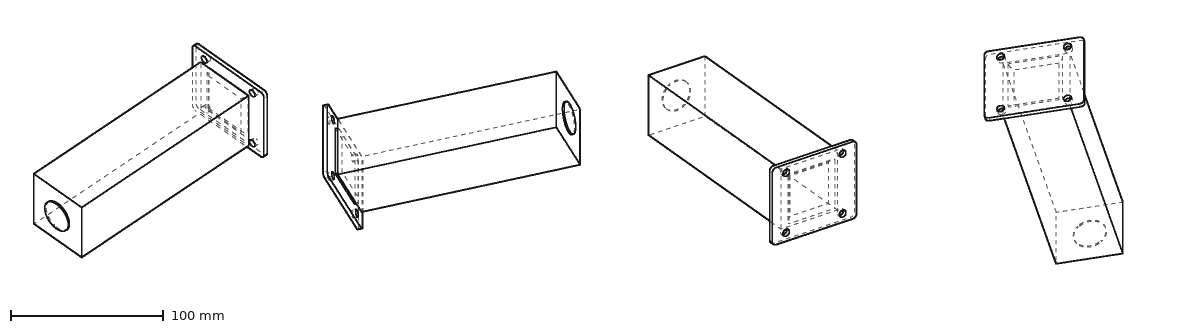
import cadquery as cq

OVERALL_LENGTH = 160.0

PLATE_WIDTH = 67.0
PLATE_HEIGHT = 58.0
PLATE_THICKNESS = 3.0
PLATE_CORNER_RADIUS = 3.0
HOLE_DIAMETER = 5.1

COLLAR_SIDE = 36.5
COLLAR_THICKNESS = 3.4
COLLAR_RIM = 0.3
COLLAR_ROUND = COLLAR_THICKNESS - COLLAR_RIM

POST_SIDE = 45.0
PAD_DIAMETER = 22.0
PAD_THICKNESS = 1.1

HOLE_SPACING = POST_SIDE
POST_START = PLATE_THICKNESS + COLLAR_THICKNESS
POST_LENGTH = OVERALL_LENGTH - POST_START - PAD_THICKNESS


def section_plane(distance):
    """Plane square to the leg axis, at a distance from the plate's back face; extrudes toward -Y."""
    return cq.Workplane("XZ", origin=(0, -distance, 0))


def make_mounting_plate():
    """Rounded rectangular plate with four through holes."""
    plate = section_plane(0).rect(PLATE_WIDTH, PLATE_HEIGHT).extrude(PLATE_THICKNESS)
    plate = plate.edges("|Y").fillet(PLATE_CORNER_RADIUS)
    holes = (
        section_plane(0)
        .rect(HOLE_SPACING, HOLE_SPACING, forConstruction=True)
        .vertices()
        .circle(HOLE_DIAMETER / 2)
        .extrude(PLATE_THICKNESS)
    )
    return plate.cut(holes)


def make_collar():
    """Square block whose edges are rounded on the side facing the post."""
    collar = section_plane(PLATE_THICKNESS).rect(COLLAR_SIDE, COLLAR_SIDE).extrude(COLLAR_THICKNESS)
    return collar.faces("<Y").edges().fillet(COLLAR_ROUND)


def make_leg():
    """Square post with the collar at the plate end and the pad at the free end."""
    post = section_plane(POST_START).rect(POST_SIDE, POST_SIDE).extrude(POST_LENGTH)
    pad = section_plane(POST_START + POST_LENGTH).circle(PAD_DIAMETER / 2).extrude(PAD_THICKNESS)
    return post.union(make_collar()).union(pad)


mounting_plate = make_mounting_plate()
leg = make_leg()

result = cq.Compound.makeCompound([mounting_plate.val(), leg.val()])